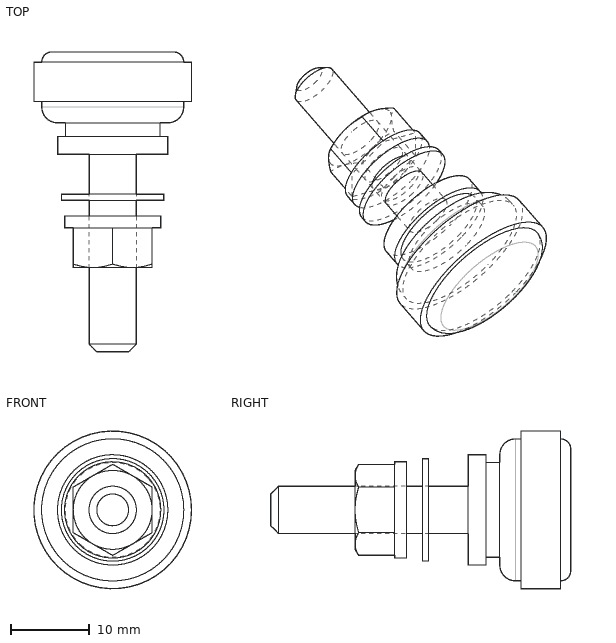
import cadquery as cq
import math

TOTAL_LENGTH = 38.0
KNOB_BACK_Y = TOTAL_LENGTH / 2

GRIP_DIAMETER = 20.0
GRIP_LENGTH = 5.0
KNOB_DIAMETER = 18.0
KNOB_LENGTH = 9.0
BACK_ROUND = 1.3
FRONT_ROUND = 2.0

NECK_DIAMETER = 12.0
NECK_LENGTH = 1.7
FLANGE_DIAMETER = 14.0
FLANGE_LENGTH = 2.28

STUD_DIAMETER = 6.0
TIP_CHAMFER = 1.0

THIN_WASHER_DIAMETER = 13.0
THIN_WASHER_THICKNESS = 0.8
THIN_WASHER_START = 18.0
THICK_WASHER_DIAMETER = 12.2
THICK_WASHER_THICKNESS = 1.52
THICK_WASHER_START = 20.8
NUT_SIDES = 6
NUT_ACROSS_FLATS = 10.0
NUT_THICKNESS = 5.0
NUT_CHAMFER_ANGLE = 30.0
NUT_START = THICK_WASHER_START + THICK_WASHER_THICKNESS


def section_plane(start):
    """Workplane facing -Y, at a distance from the back of the knob."""
    return cq.Workplane("XZ", origin=(0, KNOB_BACK_Y - start, 0))


def disc(start, diameter, length):
    return section_plane(start).circle(diameter / 2).extrude(length)


def make_knob_stud():
    """Knob, collar and stud turned as a single body."""
    body = disc(0, KNOB_DIAMETER, KNOB_LENGTH)
    body = body.faces(">Y").edges().fillet(BACK_ROUND)
    body = body.faces("<Y").edges().fillet(FRONT_ROUND)
    grip = disc(BACK_ROUND, GRIP_DIAMETER, GRIP_LENGTH)

    neck = disc(KNOB_LENGTH, NECK_DIAMETER, NECK_LENGTH)
    flange_start = KNOB_LENGTH + NECK_LENGTH
    flange = disc(flange_start, FLANGE_DIAMETER, FLANGE_LENGTH)

    stud_start = flange_start + FLANGE_LENGTH
    stud = disc(stud_start, STUD_DIAMETER, TOTAL_LENGTH - stud_start)
    stud = stud.faces("<Y").edges().chamfer(TIP_CHAMFER)

    return body.union(grip).union(neck).union(flange).union(stud)


def make_washer(start, diameter, thickness):
    """Flat washer whose bore fits the stud."""
    return disc(start, diameter, thickness).cut(disc(start, STUD_DIAMETER, thickness))


def make_nut():
    """Hex nut with its corners chamfered on the outer face."""
    across_corners = NUT_ACROSS_FLATS / math.cos(math.pi / NUT_SIDES)
    corner_radius = across_corners / 2
    flat_radius = NUT_ACROSS_FLATS / 2
    hexagon = (
        section_plane(NUT_START)
        .transformed(rotate=(0, 0, 90))
        .polygon(NUT_SIDES, across_corners)
        .extrude(NUT_THICKNESS)
    )

    chamfer_depth = (corner_radius - flat_radius) * math.tan(math.radians(NUT_CHAMFER_ANGLE))
    back_y = KNOB_BACK_Y - NUT_START
    front_y = back_y - NUT_THICKNESS
    envelope = (
        cq.Workplane("XY")
        .moveTo(0, back_y)
        .lineTo(corner_radius, back_y)
        .lineTo(corner_radius, front_y + chamfer_depth)
        .lineTo(flat_radius, front_y)
        .lineTo(0, front_y)
        .close()
        .revolve(360, (0, 0, 0), (0, 1, 0))
    )
    bore = disc(NUT_START, STUD_DIAMETER, NUT_THICKNESS)
    return hexagon.intersect(envelope).cut(bore)


knob_stud = make_knob_stud()
thin_washer = make_washer(THIN_WASHER_START, THIN_WASHER_DIAMETER, THIN_WASHER_THICKNESS)
thick_washer = make_washer(THICK_WASHER_START, THICK_WASHER_DIAMETER, THICK_WASHER_THICKNESS)
nut = make_nut()

result = cq.Compound.makeCompound([
    knob_stud.solids().val(),
    thin_washer.solids().val(),
    thick_washer.solids().val(),
    nut.solids().val(),
])